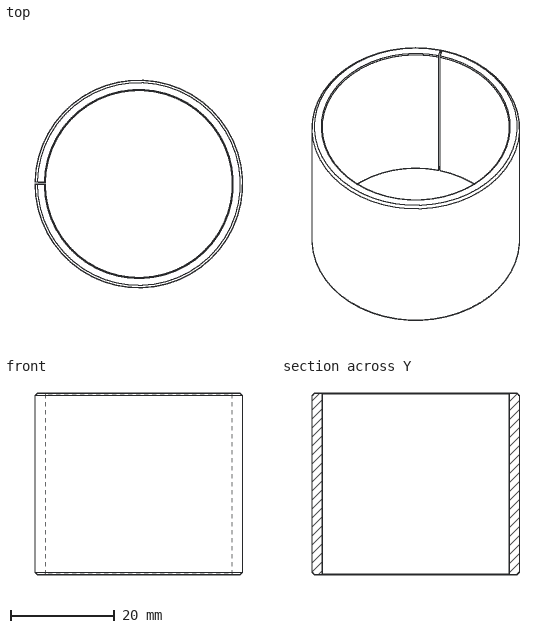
import cadquery as cq

outer_diameter = 40
wall = 2
height = 35.0
outer_chamfer = 0.5
inner_chamfer = 0.2
slit_angle = 1

outer_radius = outer_diameter / 2
bore_radius = outer_radius - wall
half_height = height / 2


def wall_section():
    """Wall section on the -X side, chamfered at both ends inside and outside."""
    upper_half = [
        (-bore_radius, half_height - inner_chamfer),
        (-bore_radius - inner_chamfer, half_height),
        (-outer_radius + outer_chamfer, half_height),
        (-outer_radius, half_height - outer_chamfer),
    ]
    lower_half = [(x, -z) for x, z in reversed(upper_half)]
    return cq.Workplane("XZ").polyline(upper_half + lower_half).close()


axis_start = (0, 0)
axis_end = (0, 1)
result = wall_section().revolve(360 - slit_angle, axis_start, axis_end)